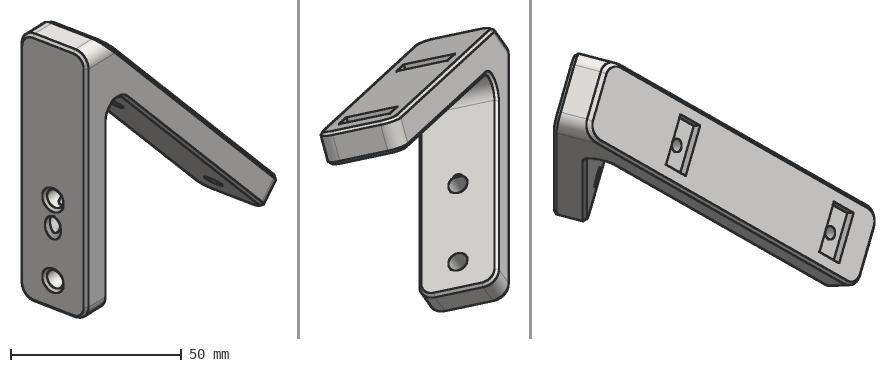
import cadquery as cq
import math

width = 25.0
height = 90.0
reach = 92.0
thickness = 10.0
corner_radius = 5.0
edge_chamfer = 1.0

recess_width = 16.0
recess_length = 8.5
recess_depth = 2.8
lower_recess_from_tip = 14.1
recess_spacing = 66.0
screw_hole_diameter = 4.0

plate_hole_diameter = 6.0
plate_hole_heights = (10.0, 37.1)

slope = math.sin(math.radians(45))
arm_length = (reach - thickness) / slope + edge_chamfer
inner_vertex_z = height - thickness / slope
lower_recess = arm_length - lower_recess_from_tip
upper_recess = lower_recess - recess_spacing
down_arm = cq.Vector(0, slope, -slope)
out_of_arm = cq.Vector(0, slope, slope)


def arm_point(along, depth):
    """Point measured down the arm and inward from its outer face."""
    top_rear_edge = cq.Vector(0, thickness, height)
    return top_rear_edge + down_arm * along - out_of_arm * depth


def arm_plane(along, depth, normal):
    return cq.Plane(arm_point(along, depth), xDir=(1, 0, 0), normal=normal)


def countersunk_bore(plane, diameter, length):
    """Cutter for a bore whose mouth is flared at 45 degrees."""
    radius = diameter / 2
    bore = cq.Workplane(plane).circle(radius).extrude(length)
    flare = cq.Solid.makeCone(
        radius + edge_chamfer, radius, edge_chamfer, plane.origin, plane.zDir
    )
    return bore.union(cq.Workplane(flare))


def rim_edges(faces):
    """Edges around a group of faces, without the edges shared inside the group."""
    edges = [edge for face in faces for edge in face.Edges()]
    return [edge for edge in edges if sum(edge.isSame(other) for other in edges) == 1]


def bent_body():
    arm_tip = [arm_point(arm_length, depth) for depth in (0, thickness)]
    profile = [
        (0, 0),
        (0, height),
        (thickness, height),
        *[(point.y, point.z) for point in arm_tip],
        (thickness, inner_vertex_z),
        (thickness, 0),
    ]
    body = cq.Workplane("YZ").polyline(profile).close().extrude(width / 2, both=True)

    tip_corners = cq.selectors.ParallelDirSelector(out_of_arm)
    farthest_down_arm = cq.selectors.DirectionMinMaxSelector(down_arm)
    corners = body.edges("|Y").vals()
    corners += body.faces(farthest_down_arm).edges(tip_corners).vals()
    body = body.newObject(corners).fillet(corner_radius)
    bend = cq.selectors.NearestToPointSelector((0, thickness, inner_vertex_z))
    body = body.edges(bend).fillet(corner_radius)

    plate_rear = body.faces(cq.selectors.DirectionSelector(cq.Vector(0, 1, 0))).val()
    arm_underside = body.faces(cq.selectors.DirectionSelector(-out_of_arm)).val()
    bend_round = body.faces("%CYLINDER").faces(bend).val()
    arm_outer = body.faces(cq.selectors.DirectionSelector(out_of_arm)).val()
    rims = rim_edges([body.faces("<Y").val()])
    rims += rim_edges([arm_outer])
    rims += rim_edges([plate_rear, arm_underside, bend_round])
    return body.newObject(rims).chamfer(edge_chamfer)


def cut_oblique_plate_hole(body):
    """Hole through the plate in line with the upper arm hole, chamfered at the front."""
    start = arm_plane(upper_recess, thickness, -out_of_arm)
    body = body.cut(cq.Workplane(start).circle(screw_hole_diameter / 2).extrude(height))
    oval = body.faces("<Y").val().innerWires()[0].Edges()
    return body.newObject(oval).chamfer(edge_chamfer)


def cut_straight_plate_holes(body):
    for hole_z in plate_hole_heights:
        front = cq.Plane((0, 0, hole_z), xDir=(1, 0, 0), normal=(0, 1, 0))
        body = body.cut(countersunk_bore(front, plate_hole_diameter, thickness))
    return body


def cut_arm_recess(body, along):
    """Rectangular recess with a screw hole countersunk from the arm's underside."""
    outer = arm_plane(along, 0, -out_of_arm)
    underside = arm_plane(along, thickness, out_of_arm)
    recess = cq.Workplane(outer).rect(recess_width, recess_length).extrude(recess_depth)
    return body.cut(recess).cut(countersunk_bore(underside, screw_hole_diameter, thickness))


result = cut_oblique_plate_hole(bent_body())
result = cut_straight_plate_holes(result)
for recess_position in (upper_recess, lower_recess):
    result = cut_arm_recess(result, recess_position)